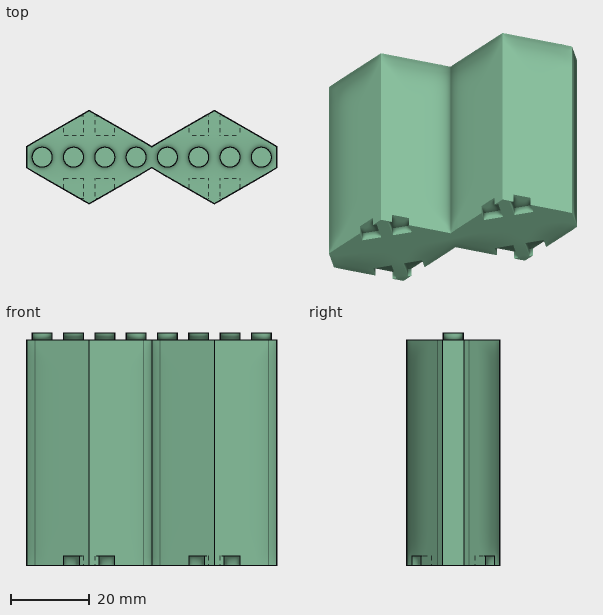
import cadquery as cq

LENGTH = 63.8
DEPTH = 23.8
HEIGHT = 59.3

COLUMN_COUNT = 2
COLUMN_LENGTH = LENGTH / COLUMN_COUNT
END_WIDTH = 5.35

STRIP_LENGTH = 2.1
STRIP_RISE = 1.3

STUD_COUNT = 8
STUD_PITCH = LENGTH / STUD_COUNT
STUD_DIAMETER = 5.1
STUD_HEIGHT = 1.8
BODY_HEIGHT = HEIGHT - STUD_HEIGHT

SOCKET_SIZE = 5.0
SOCKET_DEPTH = 2.4

column_centres = [(i - (COLUMN_COUNT - 1) / 2) * COLUMN_LENGTH for i in range(COLUMN_COUNT)]


def make_column(centre):
    """One diamond column with truncated ends, its peaks at the given X."""
    end_x = COLUMN_LENGTH / 2
    end_y = END_WIDTH / 2
    strip_x = end_x - STRIP_LENGTH
    strip_y = end_y + STRIP_RISE
    back_side = [
        (-end_x, end_y),
        (-strip_x, strip_y),
        (0, DEPTH / 2),
        (strip_x, strip_y),
        (end_x, end_y),
    ]
    front_side = [(x, -y) for x, y in reversed(back_side)]
    outline = cq.Workplane("XY").center(centre, 0).polyline(back_side + front_side).close()
    return outline.extrude(BODY_HEIGHT)


def make_sockets(centre):
    """The four sockets of one column, a half pitch either side of its peaks."""
    return (
        cq.Workplane("XY")
        .center(centre, 0)
        .rarray(STUD_PITCH, 2 * STUD_PITCH, 2, 2)
        .rect(SOCKET_SIZE, SOCKET_SIZE)
        .extrude(SOCKET_DEPTH)
    )


def make_studs():
    return (
        cq.Workplane("XY")
        .workplane(offset=BODY_HEIGHT)
        .rarray(STUD_PITCH, 0.65, STUD_COUNT, 1)
        .circle(STUD_DIAMETER / 2)
        .extrude(STUD_HEIGHT)
    )


result = make_studs()
for column_centre in column_centres:
    column = make_column(column_centre).cut(make_sockets(column_centre))
    result = result.union(column)